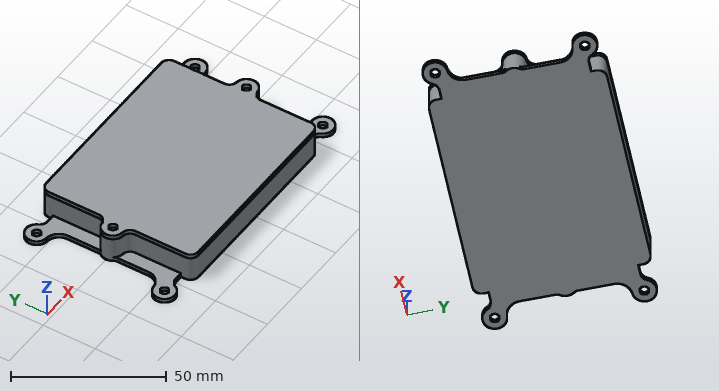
import cadquery as cq
import math

overall_length = 100.8
box_length = 73.5
box_width = 58.6
total_height = 11.2
lid_thickness = 1.6
case_height = total_height - lid_thickness
corner_radius = 3.0

boss_radius = 4.0
boss_x = 39.1
boss_fillet = 3.0
hole_diameter = 3.0

flange_thickness = 1.6
screw_hole_floor = flange_thickness
flange_length = 84.0
ear_radius = 4.0
ear_x = overall_length / 2 - ear_radius
ear_y = 24.6
ear_outer_fillet = 3.0
ear_inner_fillet = 5.0
flange_boss_fillet = 2.0

sides = (-1, 1)
boss_centres = [(side * boss_x, 0) for side in sides]
ear_centres = [(x_side * ear_x, y_side * ear_y) for x_side in sides for y_side in sides]


def edges_near(x, y):
    """Select the vertical edges at (+-x, +-y)."""
    tolerance = 0.05
    selector = cq.selectors.StringSyntaxSelector("|Z")
    places = [(x_side * x, y_side * y) for x_side in sides for y_side in sides]
    boxes = [
        cq.selectors.BoxSelector(
            (px - tolerance, py - tolerance, -total_height),
            (px + tolerance, py + tolerance, total_height),
        )
        for px, py in places
    ]
    return selector & (boxes[0] + boxes[1] + boxes[2] + boxes[3])


def box_with_bosses(height):
    """Rounded box with a filleted screw boss on each short side, standing on Z = 0."""
    box = cq.Workplane("XY").rect(box_length, box_width).extrude(height)
    box = box.edges("|Z").fillet(corner_radius)
    bosses = cq.Workplane("XY").pushPoints(boss_centres).circle(boss_radius).extrude(height)
    joint_x = box_length / 2
    joint_y = math.sqrt(boss_radius**2 - (boss_x - joint_x) ** 2)
    return box.union(bosses).edges(edges_near(joint_x, joint_y)).fillet(boss_fillet)


def tangent_point(centre, fillet_centre, fillet_radius):
    """Point where a fillet touches the round ear it blends into."""
    distance = math.dist(centre, fillet_centre)
    return tuple(f + (c - f) * fillet_radius / distance for c, f in zip(centre, fillet_centre))


def arc_middle(start, end, centre, radius):
    """Middle point of the shorter arc from start to end."""
    chord_middle = ((start[0] + end[0]) / 2, (start[1] + end[1]) / 2)
    distance = math.dist(centre, chord_middle)
    return tuple(c + (m - c) * radius / distance for c, m in zip(centre, chord_middle))


def make_ear_web():
    """Neck that blends the +X +Y ear into the side and end edges of the flange plate."""
    ear = (ear_x, ear_y)
    end_x = flange_length / 2

    outer_reach = math.sqrt((ear_radius + ear_outer_fillet) ** 2 - ear_outer_fillet**2)
    outer_centre = (ear_x - outer_reach, ear_y + ear_outer_fillet)
    outer_end = (outer_centre[0], ear_y)
    outer_start = tangent_point(ear, outer_centre, ear_outer_fillet)

    inner_x = end_x + ear_inner_fillet
    inner_reach = math.sqrt((ear_radius + ear_inner_fillet) ** 2 - (inner_x - ear_x) ** 2)
    inner_centre = (inner_x, ear_y - inner_reach)
    inner_end = (end_x, inner_centre[1])
    inner_start = tangent_point(ear, inner_centre, ear_inner_fillet)

    return (
        cq.Workplane("XY")
        .moveTo(*ear)
        .lineTo(*outer_start)
        .threePointArc(arc_middle(outer_start, outer_end, outer_centre, ear_outer_fillet), outer_end)
        .lineTo(outer_end[0], inner_end[1])
        .lineTo(*inner_end)
        .threePointArc(arc_middle(inner_end, inner_start, inner_centre, ear_inner_fillet), inner_start)
        .close()
        .extrude(flange_thickness)
    )


def make_flange():
    """Thin plate with a drilled ear at each corner, blended into the bosses."""
    flange = cq.Workplane("XY").rect(flange_length, 2 * ear_y).extrude(flange_thickness)
    bosses = cq.Workplane("XY").pushPoints(boss_centres).circle(boss_radius).extrude(flange_thickness)
    end_x = flange_length / 2
    boss_joint_y = math.sqrt(boss_radius**2 - (end_x - boss_x) ** 2)
    flange = flange.union(bosses).edges(edges_near(end_x, boss_joint_y)).fillet(flange_boss_fillet)

    ears = cq.Workplane("XY").pushPoints(ear_centres).circle(ear_radius).extrude(flange_thickness)
    web = make_ear_web()
    webs = web.union(web.mirror("XZ"))
    webs = webs.union(webs.mirror("YZ"))
    holes = cq.Workplane("XY").pushPoints(ear_centres).circle(hole_diameter / 2)
    return flange.union(ears).union(webs).cut(holes.extrude(flange_thickness))


def make_case():
    """Solid case with its mounting flange and a blind screw hole in each boss."""
    case = box_with_bosses(case_height).union(make_flange())
    holes = cq.Workplane("XY").workplane(offset=screw_hole_floor).pushPoints(boss_centres)
    return case.cut(holes.circle(hole_diameter / 2).extrude(case_height - screw_hole_floor))


def make_lid():
    """Flat cover with a screw hole through each boss."""
    lid = box_with_bosses(lid_thickness)
    holes = cq.Workplane("XY").pushPoints(boss_centres).circle(hole_diameter / 2)
    return lid.cut(holes.extrude(lid_thickness)).translate((0, 0, case_height))


case = make_case()
lid = make_lid()

result = cq.Compound.makeCompound([case.val(), lid.val()])